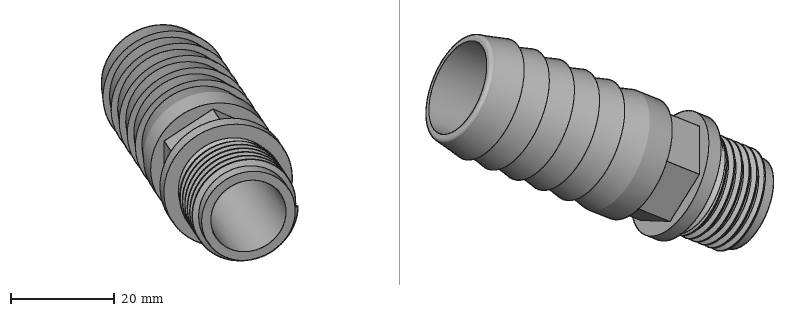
import cadquery as cq

length = 68.7
first_barb_end = 6.9
last_barb_end = 36.9
barb_count = 6
barb_pitch = (last_barb_end - first_barb_end) / (barb_count - 1)
barb_land = 0.4
collar_end = 42.25
hex_end = 50.7
flange_end = 53.65
neck_waist = 54.9
undercut_end = 56.3

barb_root_radius = 11.2
barb_tip_radius = 12.5
flange_radius = 12.9
waist_radius = 9.2
hose_bore_radius = 9.6
through_bore_radius = 7.55
nose_round = 0.8
hex_across_flats = 19.6
hex_across_corners = hex_across_flats / (3 ** 0.5 / 2)

thread_core_radius = 9.4
thread_crest_radius = 10.5
five_pitches = 9.1
thread_pitch = five_pitches / 5
thread_turns = 6.25
thread_end = 66.7
tooth_root_width = 1.5
tooth_crest_width = 0.3
tooth_embed = 0.2

neck_flange_radius = 10.0
neck_bulge = 0.2


def arc_middle(start, end, sag):
    """Midpoint of a chord lowered towards the axis."""
    return ((start[0] + end[0]) / 2, (start[1] + end[1]) / 2 - sag)


def make_barbed_tail():
    """Revolved row of barbs ending in a plain collar."""
    profile = (
        cq.Workplane("XZ")
        .lineTo(0, barb_root_radius - nose_round)
        .radiusArc((nose_round, barb_root_radius), nose_round)
    )
    for index in range(barb_count):
        tip = first_barb_end + index * barb_pitch
        profile = profile.lineTo(tip, barb_tip_radius)
        if index < barb_count - 1:
            profile = profile.lineTo(tip, barb_root_radius).lineTo(tip + barb_land, barb_root_radius)
    profile = profile.lineTo(collar_end, barb_tip_radius).lineTo(collar_end, 0).close()
    return profile.revolve(360, (0, 0, 0), (1, 0, 0))


def make_hex():
    """Hexagon with corners at +Z and -Z."""
    return (
        cq.Workplane("YZ", origin=(collar_end, 0, 0))
        .transformed(rotate=(0, 0, 90))
        .polygon(6, hex_across_corners)
        .extrude(hex_end - collar_end)
    )


def make_flange_and_spigot():
    """Flange, curved undercut and plain thread core."""
    neck_start = (flange_end, neck_flange_radius)
    waist = (neck_waist, waist_radius)
    neck_end = (undercut_end, thread_crest_radius)
    return (
        cq.Workplane("XZ")
        .moveTo(hex_end, 0)
        .lineTo(hex_end, flange_radius)
        .lineTo(flange_end, flange_radius)
        .lineTo(*neck_start)
        .threePointArc(arc_middle(neck_start, waist, neck_bulge), waist)
        .threePointArc(arc_middle(waist, neck_end, neck_bulge), neck_end)
        .lineTo(undercut_end, thread_core_radius)
        .lineTo(length, thread_core_radius)
        .lineTo(length, 0)
        .close()
        .revolve(360, (0, 0, 0), (1, 0, 0))
    )


def make_thread():
    """Helical tooth, swept about Z and then turned onto the X axis."""
    helix_length = thread_pitch * thread_turns
    helix = cq.Wire.makeHelix(thread_pitch, helix_length, thread_core_radius)
    inner_radius = thread_core_radius - tooth_embed
    tooth = (
        cq.Workplane("XZ")
        .moveTo(inner_radius, -tooth_root_width / 2)
        .lineTo(thread_crest_radius, -tooth_crest_width / 2)
        .lineTo(thread_crest_radius, tooth_crest_width / 2)
        .lineTo(inner_radius, tooth_root_width / 2)
        .close()
        .sweep(cq.Workplane(obj=helix), isFrenet=True)
    )
    placed_tooth = (
        tooth.rotate((0, 0, 0), (0, 0, 1), -360 * thread_turns)
        .rotate((0, 0, 0), (1, 1, 1), 120)
        .translate((thread_end - helix_length, 0, 0))
    )
    thread_zone = (
        cq.Workplane("YZ", origin=(undercut_end, 0, 0))
        .circle(flange_radius)
        .extrude(length - undercut_end)
    )
    return placed_tooth.intersect(thread_zone)


def make_bores():
    """Wide bore through the barbed tail up to the collar, narrower bore beyond."""
    hose_bore = cq.Workplane("YZ").circle(hose_bore_radius).extrude(last_barb_end)
    through_bore = cq.Workplane("YZ").circle(through_bore_radius).extrude(length)
    return hose_bore.union(through_bore)


body = make_barbed_tail().union(make_hex()).union(make_flange_and_spigot())
result = body.union(make_thread()).cut(make_bores())